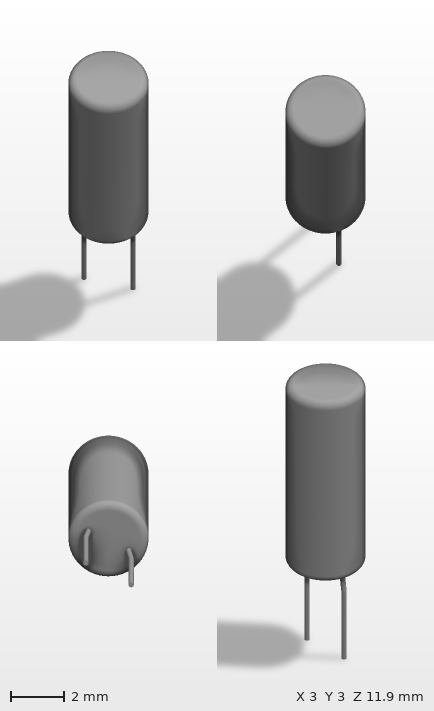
import cadquery as cq

can_diameter = 3.0
can_height = 8.0
can_edge_radius = 0.3

lead_diameter = 0.2
lead_pitch_at_can = 1.7
lead_pitch_at_tip = 1.9
stub_length = 0.1
splay_height = 0.8
straight_length = 2.96
lead_embed = 0.3

splay_top_z = -stub_length
splay_bottom_z = splay_top_z - splay_height
lead_tip_z = splay_bottom_z - straight_length


def make_can():
    can = cq.Workplane("XY").circle(can_diameter / 2).extrude(can_height)
    return can.faces("<Z or >Z").edges().fillet(can_edge_radius)


def make_lead(side):
    """Wire on the +X side (side = 1) or the -X side (side = -1)."""
    can_x = side * lead_pitch_at_can / 2
    tip_x = side * lead_pitch_at_tip / 2
    centreline = (
        cq.Workplane("XZ")
        .moveTo(tip_x, lead_tip_z)
        .lineTo(tip_x, splay_bottom_z)
        .lineTo(can_x, splay_top_z)
        .lineTo(can_x, lead_embed)
    )
    section = cq.Workplane("XY", origin=(tip_x, 0, lead_tip_z)).circle(lead_diameter / 2)
    return section.sweep(centreline, transition="right")


result = make_can()
for side in (-1, 1):
    result = result.union(make_lead(side))